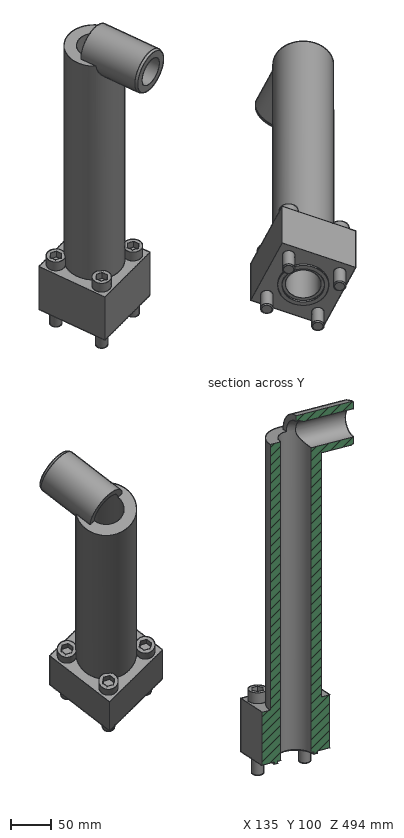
import cadquery as cq

total_height = 494.0
block_bottom = 27.5
block_height = 73.0
block_top = block_bottom + block_height

block_side = 100.0

column_diameter = 76.0
column_bore = 44.5

pipe_diameter = 60.5
pipe_length = 85.0
pipe_bore = 38.0
outlet_chamfer_length = 3.5
outlet_chamfer_depth = 1.5
pipe_axis_height = total_height - pipe_diameter / 2

ring_outer_diameter = 63.5
ring_inner_diameter = 53.0
ring_height = 3.0

bolt_spacing = 69.0
bolt_diameter = 16.0
bolt_tip_chamfer = 1.5
head_diameter = 24.0
head_height = 15.0
socket_across_flats = 14.0
socket_depth = 10.0


def cylinder(diameter, bottom, top):
    """Vertical cylinder on the column axis."""
    return cq.Workplane("XY").workplane(offset=bottom).circle(diameter / 2).extrude(top - bottom)


def outlet_passage():
    """Horizontal bore from the column axis to the open end of the pipe."""
    start = cq.Workplane("YZ", origin=(0, 0, pipe_axis_height))
    return start.circle(pipe_bore / 2).extrude(pipe_length)


def outlet_pipe():
    """Outer body of the outlet pipe with a shallow lead-in taper at its open end."""
    radius = pipe_diameter / 2
    profile = (
        cq.Workplane("XZ", origin=(0, 0, pipe_axis_height))
        .lineTo(0, radius)
        .lineTo(pipe_length - outlet_chamfer_length, radius)
        .lineTo(pipe_length, radius - outlet_chamfer_depth)
        .lineTo(pipe_length, 0)
        .close()
    )
    return profile.revolve(360, (0, 0, 0), (1, 0, 0))


def bolt():
    """Bolt with a hexagon socket, two of whose corners point along Y."""
    head_top = block_top + head_height
    shank = cylinder(bolt_diameter, 0, block_top).faces("<Z").chamfer(bolt_tip_chamfer)
    head = cylinder(head_diameter, block_top, head_top)
    socket = (
        cq.Workplane("XY")
        .workplane(offset=head_top - socket_depth)
        .transformed(rotate=(0, 0, 90))
        .polygon(6, socket_across_flats, circumscribed=True)
        .extrude(socket_depth)
    )
    return shank.union(head).cut(socket)


block = cq.Workplane("XY").box(block_side, block_side, block_height, centered=(True, True, False))
body = block.translate((0, 0, block_bottom))
body = body.union(cylinder(column_diameter, block_top, pipe_axis_height))
body = body.union(outlet_pipe())

body = body.cut(cylinder(column_bore, block_bottom, pipe_axis_height))
body = body.cut(cq.Workplane("XY", origin=(0, 0, pipe_axis_height)).sphere(column_bore / 2))
body = body.cut(outlet_passage())

ring_bottom = block_bottom - ring_height
ring = cylinder(ring_outer_diameter, ring_bottom, block_bottom)
body = body.union(ring.cut(cylinder(ring_inner_diameter, ring_bottom, block_bottom)))

for side_x in (-1, 1):
    for side_y in (-1, 1):
        position = (side_x * bolt_spacing / 2, side_y * bolt_spacing / 2, 0)
        body = body.union(bolt().translate(position))

result = body